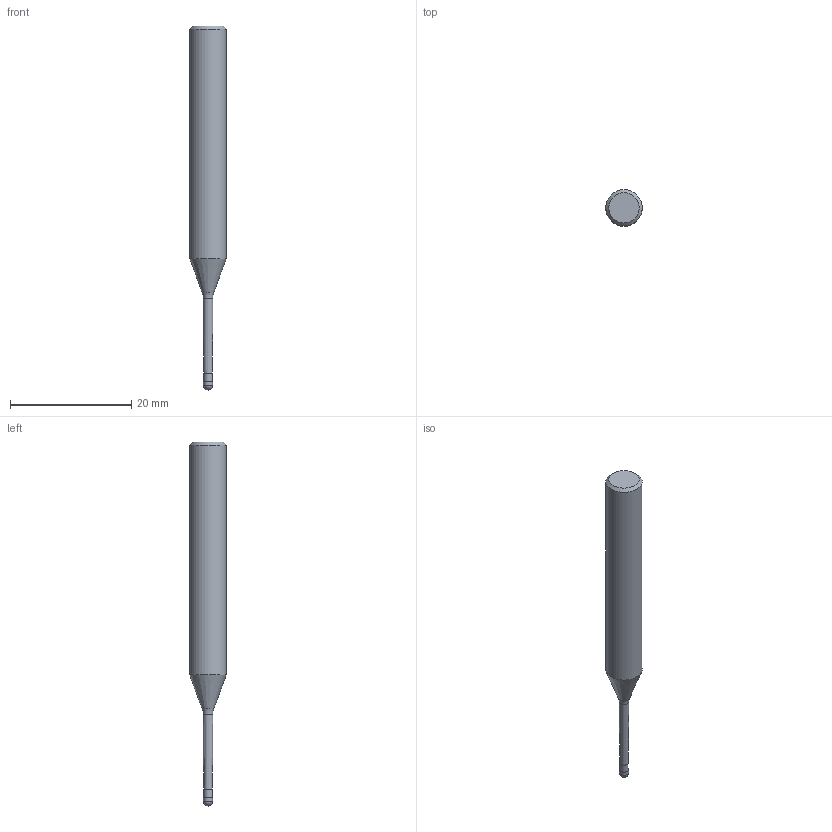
import cadquery as cq
import math

total_length = 60.0
shank_radius = 3.0
end_chamfer = 0.5

ball_radius = 0.75
head_length = 1.4

neck_radius = 0.72
straight_neck_end = 2.8
taper_neck_end = 15.1
taper_neck_end_radius = 0.8

cone_angle = math.radians(20.0)
blend_radius = 2.6
blend_end = taper_neck_end + blend_radius * math.sin(cone_angle)
blend_end_radius = taper_neck_end_radius + blend_radius * (1 - math.cos(cone_angle))
blend_middle = taper_neck_end + blend_radius * math.sin(cone_angle / 2)
blend_middle_radius = taper_neck_end_radius + blend_radius * (1 - math.cos(cone_angle / 2))

shank_start = blend_end + (shank_radius - blend_end_radius) / math.tan(cone_angle)


def revolve_about_z(profile):
    """Turn a (radius, height) outline from the XZ plane about the Z axis, with its seam on the -Y side."""
    turned = profile.close().revolve(360, (0, 0, 0), (0, 1, 0))
    return turned.rotate((0, 0, 0), (0, 0, 1), -90)


def make_cutting_head():
    """Hemispherical tip followed by a short cylinder."""
    ball_middle_radius = ball_radius * math.sin(math.pi / 4)
    ball_middle_height = ball_radius * (1 - math.cos(math.pi / 4))
    profile = (
        cq.Workplane("XZ")
        .moveTo(0, 0)
        .threePointArc((ball_middle_radius, ball_middle_height), (ball_radius, ball_radius))
        .lineTo(ball_radius, head_length)
        .lineTo(0, head_length)
    )
    return revolve_about_z(profile)


def make_shank():
    """Neck, blend, shoulder cone and cylindrical shank with a chamfered end."""
    profile = (
        cq.Workplane("XZ")
        .moveTo(0, head_length)
        .lineTo(neck_radius, head_length)
        .lineTo(neck_radius, straight_neck_end)
        .lineTo(taper_neck_end_radius, taper_neck_end)
        .threePointArc((blend_middle_radius, blend_middle), (blend_end_radius, blend_end))
        .lineTo(shank_radius, shank_start)
        .lineTo(shank_radius, total_length - end_chamfer)
        .lineTo(shank_radius - end_chamfer, total_length)
        .lineTo(0, total_length)
    )
    return revolve_about_z(profile)


cutting_head = make_cutting_head()
shank = make_shank()

result = cq.Compound.makeCompound([cutting_head.val(), shank.val()])